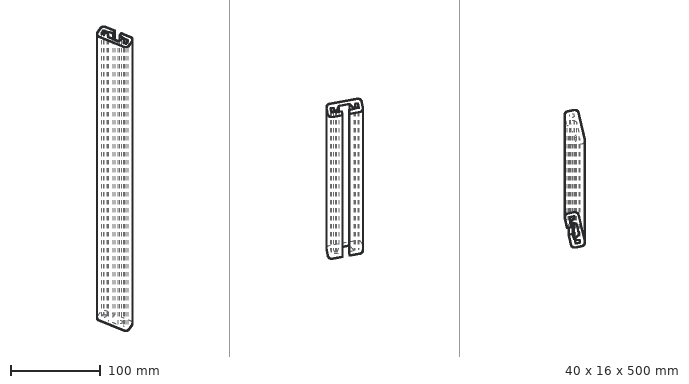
import cadquery as cq

width = 40.0
depth = 16.0
length = 500.0
corner_radius = 4.5

opening_width = 8.0
lip_tip_thickness = 4.5
lip_root_thickness = 5.0
cavity_width = 20.0
waist_width = 15.5
waist_height = 7.0
floor_width = 12.0
floor_thickness = 4.5

hollow_outer = 15.5
hollow_inner_front = 11.0
hollow_inner_back = 12.5
hollow_height = 5.0

back = -depth / 2
front = depth / 2


def make_body():
    body = cq.Workplane("XY").box(width, depth, length)
    return body.edges("|Z").fillet(corner_radius)


def extrude_outline(points):
    outline = cq.Workplane("XY", origin=(0, 0, -length / 2)).polyline(points).close()
    return outline.extrude(length)


def make_slot():
    """T-shaped slot with sloping lip undersides and side walls tapering towards the floor."""
    right_side = [
        (opening_width / 2, front),
        (opening_width / 2, front - lip_tip_thickness),
        (cavity_width / 2, front - lip_root_thickness),
        (waist_width / 2, back + waist_height),
        (floor_width / 2, back + floor_thickness),
    ]
    left_side = [(-x, y) for x, y in reversed(right_side)]
    return extrude_outline(right_side + left_side)


def make_hollow(side):
    """Four-sided channel whose wall nearest the slot leans away from it towards the back."""
    return extrude_outline([
        (side * hollow_outer, hollow_height / 2),
        (side * hollow_inner_front, hollow_height / 2),
        (side * hollow_inner_back, -hollow_height / 2),
        (side * hollow_outer, -hollow_height / 2),
    ])


result = make_body().cut(make_slot())
for side in (-1, 1):
    result = result.cut(make_hollow(side))